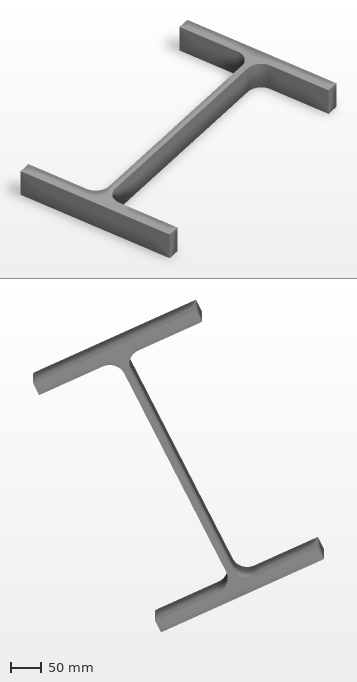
import cadquery as cq

flange_width = 300.0
section_depth = 490.0
beam_length = 50.0
web_thickness = 12.0
flange_thickness = 23.0
root_radius = 27.0


def make_flange(side):
    """Flange plate at the +Y (side=1) or -Y (side=-1) end of the web."""
    center_y = side * (section_depth - flange_thickness) / 2
    return (
        cq.Workplane("XY")
        .center(0, center_y)
        .rect(flange_width, flange_thickness)
        .extrude(beam_length)
    )


def make_web():
    """Web plate spanning the clear depth between the flanges."""
    clear_depth = section_depth - 2 * flange_thickness
    return cq.Workplane("XY").rect(web_thickness, clear_depth).extrude(beam_length)


def round_roots(beam):
    """Fillet the four inside corners where the web meets the flanges."""
    root_y = section_depth / 2 - flange_thickness
    margin = 1.0
    root_edges = cq.selectors.BoxSelector(
        (-web_thickness / 2 - margin, -root_y - margin, 0),
        (web_thickness / 2 + margin, root_y + margin, beam_length),
    )
    return beam.edges("|Z").edges(root_edges).fillet(root_radius)


sharp_beam = make_web().union(make_flange(1)).union(make_flange(-1))
result = round_roots(sharp_beam)